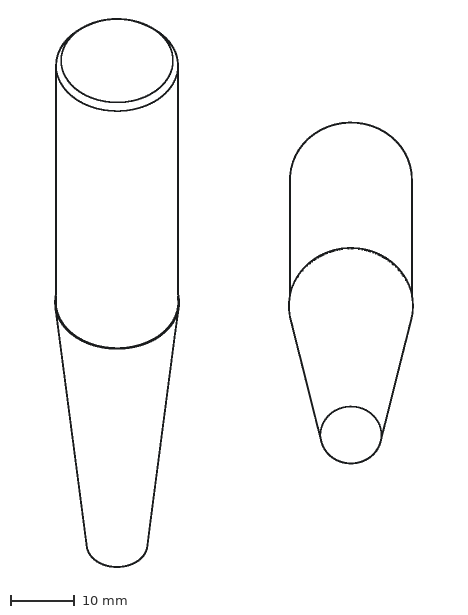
import cadquery as cq

total_length = 114.3
tip_length = 57.2
shank_length = total_length - tip_length

tip_large_radius = 9.77
tip_small_radius = 4.8

shank_radius = 9.6
chamfer_height = 1.1
chamfer_width = 0.8


def make_tip():
    """Solid cone standing on its small end, centred on the Z axis."""
    profile = [
        (0, 0),
        (tip_small_radius, 0),
        (tip_large_radius, tip_length),
        (0, tip_length),
    ]
    return cq.Workplane("XZ").polyline(profile).close().revolve(360, (0, 0), (0, 1))


def make_shank():
    """Round bar resting on the large end of the tip, chamfered at its top."""
    return (
        cq.Workplane("XY")
        .workplane(offset=tip_length)
        .circle(shank_radius)
        .extrude(shank_length)
        .faces(">Z")
        .edges()
        .chamfer(chamfer_height, chamfer_width)
    )


tip = make_tip()
shank = make_shank()

result = cq.Compound.makeCompound([tip.val(), shank.val()])